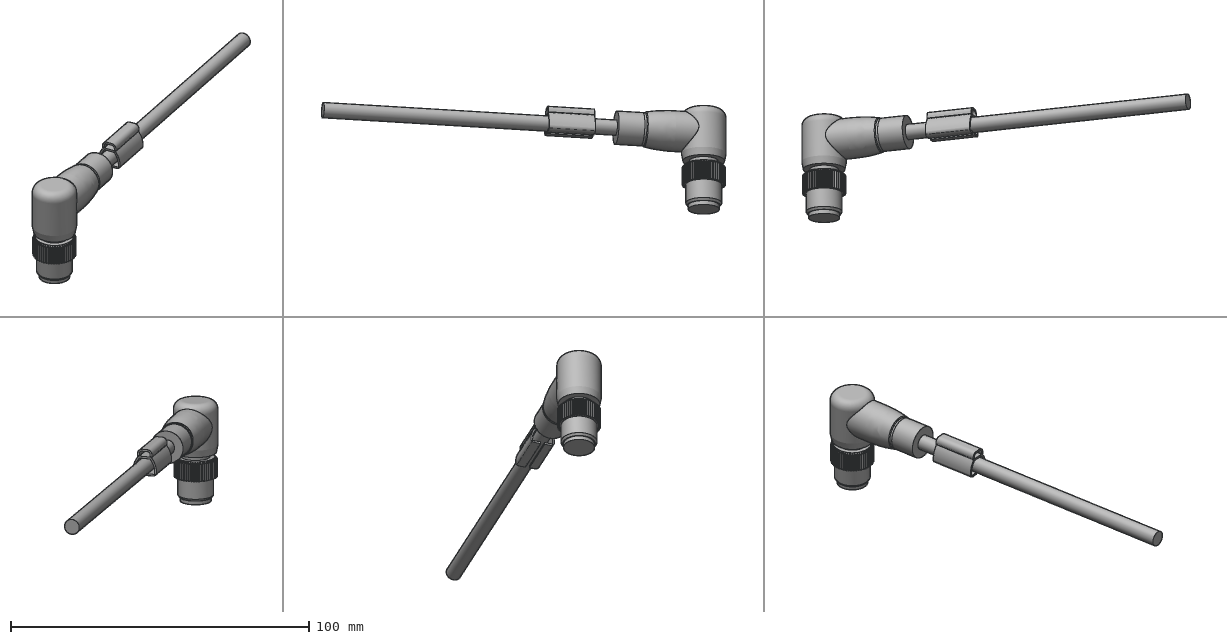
import cadquery as cq
import math


HEAD_DIAMETER = 15.0
HEAD_RADIUS = HEAD_DIAMETER / 2
HEAD_TOP = 35.0
HEAD_BOTTOM = 17.0
HEAD_TAPER_START = 19.5
HEAD_BOTTOM_RADIUS = 7.0
HEAD_CROWN_RADIUS = 3.0
NECK_RADIUS = 6.9
NECK_STRAIGHT_END = 10.7
NECK_END = 20.1
NECK_END_RADIUS = 5.9
MOUTH_CHAMFER = 0.35
SPIGOT_END = 21.2
CABLE_AXIS_Z = 27.0

CABLE_RADIUS = 2.6
OVERALL_LENGTH = 137.5
CABLE_END = OVERALL_LENGTH - HEAD_RADIUS
SLEEVE_RADIUS = 5.6
SLEEVE_END = 30.0

CLIP_START = 37.7
CLIP_LENGTH = 15.8
CLIP_WIDTH = 8.4
CLIP_WALL = 0.7
CLIP_TOP = 5.8
CLIP_FLAT_WIDTH = 1.6
CLIP_HEAD_WIDTH = 5.2
CLIP_HEAD_ROUND_BOTTOM = 4.1
CLIP_SHOULDER = 3.3
CLIP_SHOULDER_WIDTH = 4.4
CLIP_SIDE_BOTTOM = -1.9
CLIP_LIP_RADIUS = 1.4
CLIP_MOUTH_WIDTH = 1.4

NUT_RADIUS = 7.3
NUT_TOP = 15.4
NUT_BOTTOM = 8.7
NUT_CHAMFER = 0.8
KNURL_COUNT = 52
KNURL_DEPTH = 0.7
KNURL_CREST_SHARE = 0.3
KNURL_ROOT_SHARE = 0.2
SHELL_RADIUS = 6.0
SHELL_CHAMFER_WIDTH = 0.5
SHELL_BOTTOM = 1.4
SHELL_CHAMFER_HEIGHT = 0.8

CARRIER_RADIUS = 5.2
CARRIER_NECK_RADIUS = 4.8


def cylinder_along_y(radius, start, end):
    """Solid cylinder on the cable axis between two Y positions."""
    plane = cq.Workplane("XZ", origin=(0, start, CABLE_AXIS_Z))
    return plane.circle(radius).extrude(start - end)


def make_housing():
    head = (
        cq.Workplane("XZ")
        .moveTo(0, HEAD_BOTTOM)
        .lineTo(HEAD_BOTTOM_RADIUS, HEAD_BOTTOM)
        .lineTo(HEAD_RADIUS, HEAD_TAPER_START)
        .lineTo(HEAD_RADIUS, HEAD_TOP - HEAD_CROWN_RADIUS)
        .radiusArc((HEAD_RADIUS - HEAD_CROWN_RADIUS, HEAD_TOP), -HEAD_CROWN_RADIUS)
        .lineTo(0, HEAD_TOP)
        .close()
        .revolve(360, (0, 0, 0), (0, 1, 0))
    )
    neck = (
        cq.Workplane("XY", origin=(0, 0, CABLE_AXIS_Z))
        .lineTo(NECK_RADIUS, 0)
        .lineTo(NECK_RADIUS, NECK_STRAIGHT_END)
        .tangentArcPoint((NECK_END_RADIUS, NECK_END), relative=False)
        .lineTo(SLEEVE_RADIUS, NECK_END + MOUTH_CHAMFER)
        .lineTo(SLEEVE_RADIUS, SPIGOT_END)
        .lineTo(0, SPIGOT_END)
        .close()
        .revolve(360, (0, 0, 0), (0, 1, 0))
    )
    return head.union(neck)


def make_cable():
    return cylinder_along_y(CABLE_RADIUS, SPIGOT_END, CABLE_END)


def make_sleeve():
    sleeve = cylinder_along_y(SLEEVE_RADIUS, SPIGOT_END, SLEEVE_END)
    return sleeve.cut(cylinder_along_y(CABLE_RADIUS, SPIGOT_END, SLEEVE_END))


def make_clip():
    plane = cq.Workplane("XZ", origin=(0, CLIP_START, CABLE_AXIS_Z))
    half_width = CLIP_WIDTH / 2
    shoulder = CLIP_SHOULDER_WIDTH / 2
    lip_bottom = CLIP_SIDE_BOTTOM - CLIP_LIP_RADIUS
    side_inset = half_width - shoulder
    side_height = CLIP_SHOULDER - CLIP_SIDE_BOTTOM
    side_radius = (side_inset**2 + side_height**2) / (2 * side_inset)
    body = (
        plane.moveTo(0, CLIP_TOP)
        .lineTo(CLIP_FLAT_WIDTH / 2, CLIP_TOP)
        .tangentArcPoint((CLIP_HEAD_WIDTH / 2, CLIP_HEAD_ROUND_BOTTOM), relative=False)
        .lineTo(CLIP_HEAD_WIDTH / 2, CLIP_SHOULDER)
        .lineTo(shoulder, CLIP_SHOULDER)
        .radiusArc((half_width, CLIP_SIDE_BOTTOM), side_radius)
        .radiusArc((half_width - CLIP_LIP_RADIUS, lip_bottom), CLIP_LIP_RADIUS)
        .lineTo(0, lip_bottom)
        .mirrorY()
        .extrude(-CLIP_LENGTH)
    )
    chamber_radius = side_radius - CLIP_WALL
    chamber_rise = CABLE_RADIUS - CLIP_SIDE_BOTTOM
    chamber_half_width = half_width - CLIP_WALL
    ceiling_inset = chamber_radius - math.sqrt(chamber_radius**2 - chamber_rise**2)
    chamber_floor = lip_bottom + CLIP_WALL
    cable_chamber = (
        plane.moveTo(0, CABLE_RADIUS)
        .lineTo(chamber_half_width - ceiling_inset, CABLE_RADIUS)
        .radiusArc((chamber_half_width, CLIP_SIDE_BOTTOM), chamber_radius)
        .lineTo(chamber_half_width, chamber_floor)
        .lineTo(0, chamber_floor)
        .mirrorY()
        .extrude(-CLIP_LENGTH)
    )
    mouth = (
        plane.moveTo(0, chamber_floor)
        .rect(CLIP_MOUTH_WIDTH, 2 * CLIP_WALL)
        .extrude(-CLIP_LENGTH)
    )
    slot_floor = CABLE_RADIUS + CLIP_WALL
    slot_height = CLIP_TOP - CLIP_WALL - slot_floor
    label_slot = (
        plane.moveTo(0, slot_floor + slot_height / 2)
        .rect(CLIP_HEAD_WIDTH - 2 * CLIP_WALL, slot_height)
        .extrude(-CLIP_LENGTH)
        .edges("|Y and >Z")
        .fillet(CLIP_TOP - CLIP_HEAD_ROUND_BOTTOM - CLIP_WALL)
    )
    return body.cut(cable_chamber).cut(mouth).cut(label_slot)


def polar_point(radius, degrees):
    angle = math.radians(degrees)
    return (radius * math.cos(angle), radius * math.sin(angle))


def make_nut():
    pitch = 360 / KNURL_COUNT
    crest_half = pitch * KNURL_CREST_SHARE / 2
    foot_half = pitch * (1 - KNURL_ROOT_SHARE) / 2
    root_radius = NUT_RADIUS - KNURL_DEPTH
    outline = []
    for tooth in range(KNURL_COUNT):
        middle = tooth * pitch
        outline.append(polar_point(root_radius, middle - foot_half))
        outline.append(polar_point(NUT_RADIUS, middle - crest_half))
        outline.append(polar_point(NUT_RADIUS, middle + crest_half))
        outline.append(polar_point(root_radius, middle + foot_half))
    knurl = (
        cq.Workplane("XY", origin=(0, 0, NUT_BOTTOM))
        .polyline(outline)
        .close()
        .extrude(NUT_TOP - NUT_BOTTOM)
    )
    envelope = (
        cq.Workplane("XY", origin=(0, 0, NUT_BOTTOM))
        .circle(NUT_RADIUS)
        .extrude(NUT_TOP - NUT_BOTTOM)
        .faces(">Z")
        .chamfer(NUT_CHAMFER)
    )
    shell = (
        cq.Workplane("XY", origin=(0, 0, SHELL_BOTTOM))
        .circle(SHELL_RADIUS)
        .extrude(NUT_TOP - SHELL_BOTTOM)
        .faces("<Z")
        .chamfer(SHELL_CHAMFER_HEIGHT, SHELL_CHAMFER_WIDTH)
    )
    nut = knurl.intersect(envelope).union(shell)
    return nut.cut(make_carrier())


def make_carrier():
    carrier = cq.Workplane("XY").circle(CARRIER_RADIUS).extrude(NUT_BOTTOM)
    neck = cq.Workplane("XY").circle(CARRIER_NECK_RADIUS).extrude(HEAD_BOTTOM)
    return carrier.union(neck)


housing = make_housing()
cable = make_cable()
sleeve = make_sleeve()
clip = make_clip()
nut = make_nut()
carrier = make_carrier()

result = cq.Compound.makeCompound(
    [housing.val(), cable.val(), sleeve.val(), clip.val(), nut.val(), carrier.val()]
)